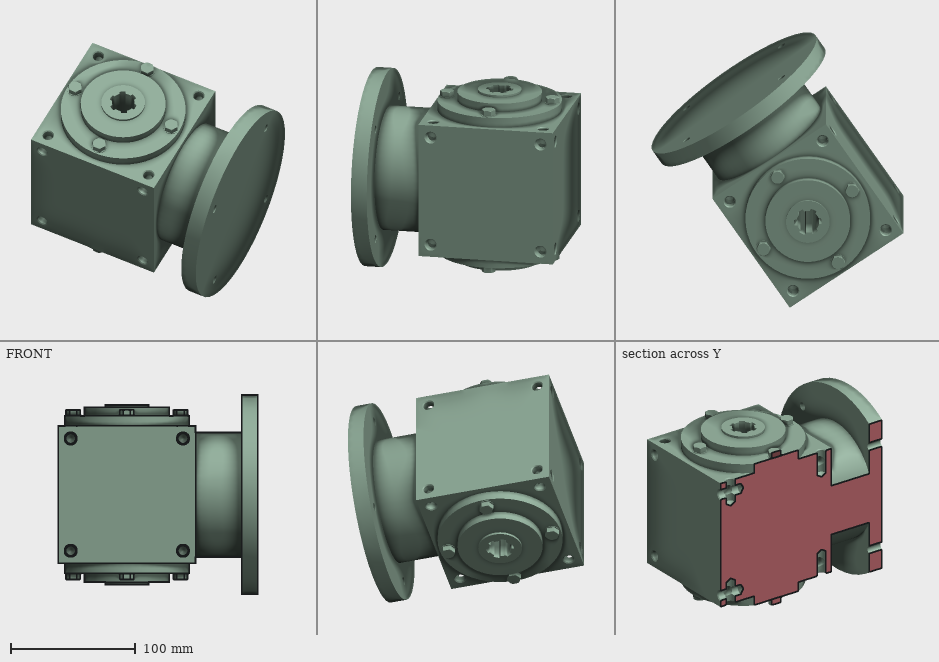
import cadquery as cq
import math


cube_size = 110.0
half_cube = cube_size / 2
mount_hole_spacing = 90.0
mount_hole_diameter = 8.3
mount_mouth_diameter = 10.0
mount_hole_depth = 20.0
drill_point_angle = 118.0

cover_diameter = 100.0
cover_thickness = 8.0
boss_diameter = 68.0
boss_thickness = 7.0

neck_diameter = cover_diameter
flange_diameter = 160.0
flange_thickness = 13.0
overall_length = 160.0
flange_face_x = overall_length - half_cube
flange_hole_diameter = 6.7
flange_hole_circle = 130.0
flange_hole_count = 4

shaft_diameter = 35.0
shaft_projection = 2.0
spline_minor_diameter = 18.0
spline_major_diameter = 22.0
spline_slot_width = 5.0
spline_slot_count = 6

bolt_circle = 86.0
bolts_per_cover = 4
bolt_sides = 6
bolt_across_flats = 10.0
bolt_washer_diameter = 12.0
bolt_washer_thickness = 0.5
bolt_head_height = 5.0
bolt_crown_angle = 30.0

cover_face_z = half_cube + cover_thickness
boss_face_z = cover_face_z + boss_thickness
shaft_length = 2 * (boss_face_z + shaft_projection)


def centred_cylinder(diameter, length):
    """Cylinder on the Z axis, centred on the origin."""
    return cq.Workplane("XY").circle(diameter / 2).extrude(length / 2, both=True)


def make_mount_hole():
    """Cutter for a blind hole down from the origin, with a chamfered mouth and a drill point."""
    radius = mount_hole_diameter / 2
    mouth_radius = mount_mouth_diameter / 2
    mouth_depth = mouth_radius - radius
    point_depth = radius / math.tan(math.radians(drill_point_angle / 2))
    return (
        cq.Workplane("XZ")
        .moveTo(0, 0)
        .lineTo(mouth_radius, 0)
        .lineTo(radius, -mouth_depth)
        .lineTo(radius, -mount_hole_depth)
        .lineTo(0, -mount_hole_depth - point_depth)
        .close()
        .revolve(360, (0, 0, 0), (0, 1, 0))
    )


def cut_mount_holes(body):
    """Four corner holes in every cube face except the one that carries the neck."""
    hole = make_mount_hole().val()
    for face_normal in [(0, 0, 1), (0, 0, -1), (0, 1, 0), (0, -1, 0), (-1, 0, 0)]:
        face_centre = cq.Vector(*face_normal) * half_cube
        face_x_direction = (0, 1, 0) if face_normal[0] else (1, 0, 0)
        face = cq.Workplane(cq.Plane(face_centre, face_x_direction, face_normal))
        corners = face.rect(mount_hole_spacing, mount_hole_spacing, forConstruction=True).vertices()
        body = body.cut(corners.eachpoint(hole, useLocalCoordinates=True))
    return body


def make_flanged_neck():
    neck = cq.Workplane("YZ").circle(neck_diameter / 2).extrude(flange_face_x)
    flange = (
        cq.Workplane("YZ", origin=(flange_face_x - flange_thickness, 0, 0))
        .circle(flange_diameter / 2)
        .extrude(flange_thickness)
    )
    flange_holes = (
        cq.Workplane("YZ", origin=(flange_face_x - flange_thickness, 0, 0))
        .polarArray(flange_hole_circle / 2, 180 / flange_hole_count, 360, flange_hole_count)
        .circle(flange_hole_diameter / 2)
        .extrude(flange_thickness)
    )
    return neck.union(flange.cut(flange_holes))


def make_housing():
    cube = cq.Workplane("XY").box(cube_size, cube_size, cube_size)
    covers = centred_cylinder(cover_diameter, 2 * cover_face_z)
    bosses = centred_cylinder(boss_diameter, 2 * boss_face_z)
    body = cut_mount_holes(cube.union(make_flanged_neck()).union(covers).union(bosses))
    return body.cut(centred_cylinder(shaft_diameter, shaft_length))


def make_shaft():
    shaft = centred_cylinder(shaft_diameter, shaft_length)
    spline = centred_cylinder(spline_minor_diameter, shaft_length)
    slot_limit = centred_cylinder(spline_major_diameter, shaft_length)
    slot_pair = cq.Workplane("XY").box(spline_major_diameter, spline_slot_width, shaft_length)
    slot_pair = slot_pair.intersect(slot_limit)
    for index in range(spline_slot_count // 2):
        angle = index * 360 / spline_slot_count
        spline = spline.union(slot_pair.rotate((0, 0, 0), (0, 0, 1), angle))
    return shaft.cut(spline)


def make_bolt_head():
    """Hexagon head on a thin washer face, standing up from the origin, corners along X."""
    across_corners = bolt_across_flats / math.cos(math.pi / bolt_sides)
    flat_radius = bolt_across_flats / 2
    corner_radius = across_corners / 2
    crown_drop = (corner_radius - flat_radius) * math.tan(math.radians(bolt_crown_angle))
    hexagon = cq.Workplane("XY").polygon(bolt_sides, across_corners).extrude(bolt_head_height)
    crown = (
        cq.Workplane("XZ")
        .moveTo(0, 0)
        .lineTo(corner_radius, 0)
        .lineTo(corner_radius, bolt_head_height - crown_drop)
        .lineTo(flat_radius, bolt_head_height)
        .lineTo(0, bolt_head_height)
        .close()
        .revolve(360, (0, 0, 0), (0, 1, 0))
    )
    washer = cq.Workplane("XY").circle(bolt_washer_diameter / 2).extrude(bolt_washer_thickness)
    return hexagon.intersect(crown).union(washer)


def make_bolts():
    bolts = []
    for index in range(bolts_per_cover):
        angle = math.radians(index * 360 / bolts_per_cover)
        x = bolt_circle / 2 * math.cos(angle)
        y = bolt_circle / 2 * math.sin(angle)
        top_bolt = make_bolt_head().translate((x, y, cover_face_z))
        bolts.append(top_bolt.solids().val())
        bolts.append(top_bolt.mirror("XY").solids().val())
    return bolts


housing = make_housing()
shaft = make_shaft()
bolts = make_bolts()

result = cq.Compound.makeCompound([housing.solids().val(), shaft.solids().val(), *bolts])